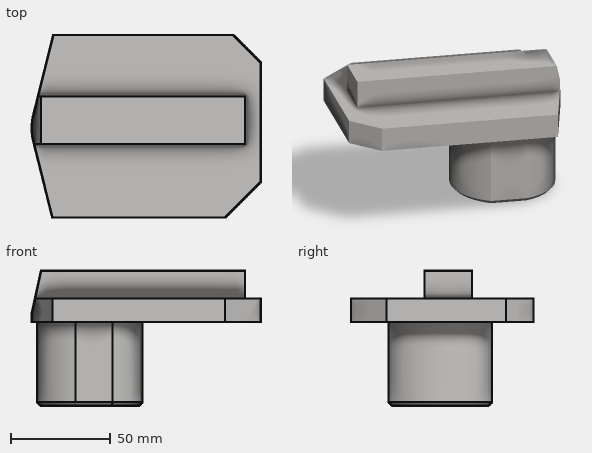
import cadquery as cq
import math


plate_length = 115.5
plate_back = 47.0
plate_front = 45.0
plate_thickness = 12.0
back_chamfer = 14.0
front_chamfer = 18.0
nose_radius = 26.0
nose_angle = math.radians(14)

ridge_height = 14.0
ridge_end = 107.5
ridge_back = 16.0
ridge_front = 8.0
bevel_setback = 4.7
bevel_depth = 21.8

post_height = 42.1
post_start = 2.7
post_length = 53.3
post_half_width = 26.1
post_nose_radius = 27.2
post_tail_radius = 30.0
post_chamfer = 2.0

top = plate_thickness + ridge_height


def plate_prism(height):
    """Extrude the plate outline, with its rounded nose and cut corners."""
    tangent_x = nose_radius * (1 - math.cos(nose_angle))
    tangent_y = nose_radius * math.sin(nose_angle)

    def flank_x(side):
        return tangent_x + (side - tangent_y) * math.tan(nose_angle)

    return (
        cq.Workplane("XY")
        .moveTo(tangent_x, tangent_y)
        .threePointArc((0, 0), (tangent_x, -tangent_y))
        .lineTo(flank_x(plate_front), -plate_front)
        .lineTo(plate_length - front_chamfer, -plate_front)
        .lineTo(plate_length, -plate_front + front_chamfer)
        .lineTo(plate_length, plate_back - back_chamfer)
        .lineTo(plate_length - back_chamfer, plate_back)
        .lineTo(flank_x(plate_back), plate_back)
        .close()
        .extrude(height)
    )


def ridge():
    """Straight bar whose nose end follows the plate outline."""
    bar = cq.Workplane("XY").box(
        ridge_end, ridge_back + ridge_front, top, centered=False
    ).translate((0, -ridge_front, 0))
    return bar.intersect(plate_prism(top))


def nose_bevel():
    """Wedge that slopes the ridge end and the upper part of the nose."""
    return (
        cq.Workplane("XZ")
        .polyline([(0, top), (bevel_setback, top), (0, top - bevel_depth)])
        .close()
        .extrude(plate_back + plate_front, both=True)
    )


def bow_depth(radius):
    """Depth of an arc spanning the full width of the post."""
    return radius - math.sqrt(radius**2 - post_half_width**2)


def post():
    """Post with two flat sides, bowed ends of unequal radius and a chamfered foot."""
    post_end = post_start + post_length
    nose_flat_x = post_start + bow_depth(post_nose_radius)
    tail_flat_x = post_end - bow_depth(post_tail_radius)
    shaft_height = post_height - post_chamfer

    def outline(level):
        return (
            cq.Workplane("XY", origin=(0, 0, level))
            .moveTo(nose_flat_x, post_half_width)
            .threePointArc((post_start, 0), (nose_flat_x, -post_half_width))
            .lineTo(tail_flat_x, -post_half_width)
            .threePointArc((post_end, 0), (tail_flat_x, post_half_width))
            .close()
        )

    shaft = outline(0).extrude(-shaft_height)
    foot = outline(-shaft_height).extrude(-post_chamfer, taper=45)
    return shaft.union(foot)


result = plate_prism(plate_thickness).union(ridge()).cut(nose_bevel()).union(post())